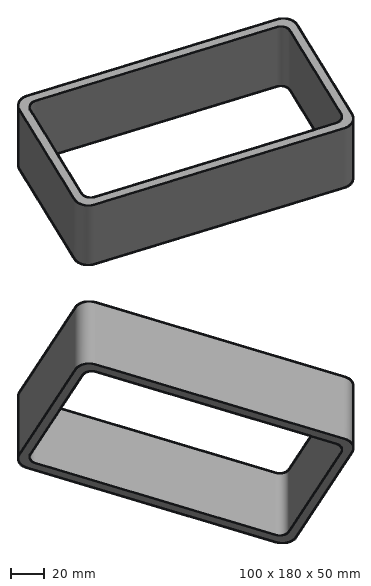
import cadquery as cq

length = 180.0
width = 100.0
height = 50.0
wall = 6.0
outer_radius = 9.0
inner_radius = 6.0


def rounded_block(size_x, size_y, corner_radius):
    """Upright block centred on the Z axis with rounded vertical edges."""
    block = cq.Workplane("XY").rect(size_x, size_y).extrude(height)
    return block.edges("|Z").fillet(corner_radius)


outer_body = rounded_block(width, length, outer_radius)
opening = rounded_block(width - 2 * wall, length - 2 * wall, inner_radius)

result = outer_body.cut(opening)